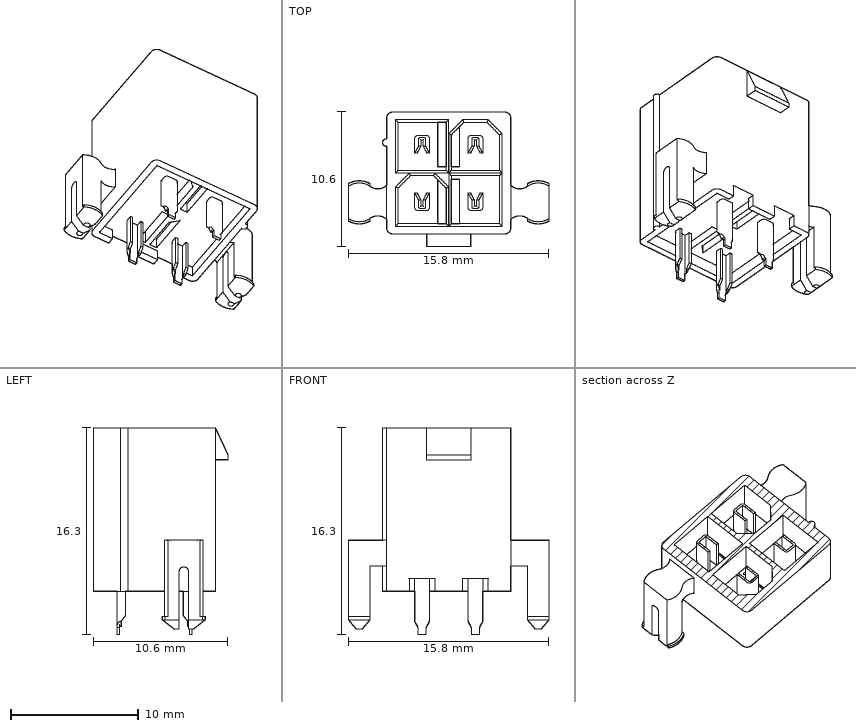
import cadquery as cq
import math

housing_width = 9.78
housing_depth = 9.6
housing_height = 12.85
overall_height = 16.25
corner_radius = 0.5

pitch = 4.2
cavity_size = 3.77
mouth_gap = 0.003
mouth_chamfer = (pitch - mouth_gap - cavity_size) / 2
key_corner = 0.98
rows = (-1, 1)
columns = (-1, 1)

skirt_thickness = 0.57
recess_height = 1.0
floor_thickness = 1.0
floor_top = recess_height + floor_thickness
notch_width = 2.0

slot_outer_x = 0.85
slot_inner_y = 0.5

latch_width = 3.46
latch_reach = 0.99
latch_ramp_height = 2.11
latch_height = 2.5

rib_radius = 0.3
rib_y = 2.39
rib_reach = 0.32

peg_x = 7.04
peg_y = -2.3
peg_half_width = 0.86
peg_radius = 1.53
lip_radius = 1.7
peg_top = 4.03
lip_top = -1.97
lip_bottom = -2.23
peg_bottom = -2.95
peg_tip_half_width = 0.23
peg_tip_half_flat = 0.45
peg_tip_half_length = 0.76
peg_slot_width = 0.73
peg_slot_top = 1.93
arm_bottom = 2.0
arm_waist_x = 5.62
arm_waist = 1.07
arm_root = 1.33
arm_embed = 0.32

contact_width = 1.17
contact_thickness = 0.21
contact_bend = 0.26
contact_back_y = 2.95
shank_depth = 1.4
shank_top = 7.15
tip_top = 7.96
tip_width = 0.54
tip_thickness = 0.18
tip_bend = 0.1
tip_depth = 0.65
tip_setback = 0.18
tail_depth = 0.7
tail_step_depth = 0.35
tail_slope_top = -1.9
tail_slope_bottom = -2.32
tail_taper_top = -2.35
tail_taper_bottom = -2.85
tail_bottom = housing_height - overall_height
blade_width = contact_width - 2 * contact_bend


def box(x_min, x_max, y_min, y_max, z_min, z_max):
    size = (x_max - x_min, y_max - y_min, z_max - z_min)
    return cq.Workplane("XY").box(*size, centered=False).translate((x_min, y_min, z_min))


def loft_between(lower_section, upper_section):
    wires = [lower_section.wires().val(), upper_section.wires().val()]
    return cq.Workplane(cq.Solid.makeLoft(wires, True))


def cavity_section(size, cut, z):
    """Square cavity outline at height z; a positive cut removes its two +Y corners."""
    half = size / 2
    points = [(-half, -half), (half, -half)]
    if cut:
        points += [(half, half - cut), (half - cut, half), (-half + cut, half), (-half, half - cut)]
    else:
        points += [(half, half), (-half, half)]
    return cq.Workplane("XY").workplane(offset=z).polyline(points).close()


def cavity(column, row):
    """Cavity with a 45-degree mouth; the two on one diagonal have cut corners as keys."""
    cut = key_corner if column == row else 0
    mouth_cut = cut + mouth_chamfer * (2 - math.sqrt(2)) if cut else 0
    mouth_size = cavity_size + 2 * mouth_chamfer
    shaft = cavity_section(cavity_size, cut, floor_top).extrude(housing_height - floor_top)
    mouth = loft_between(
        cavity_section(cavity_size, cut, housing_height - mouth_chamfer),
        cavity_section(mouth_size, mouth_cut, housing_height),
    )
    slot = box(-slot_outer_x, slot_outer_x, slot_inner_y, pitch, 0, floor_top)
    if row < 0:
        slot = slot.mirror("XZ")
    place = (column * pitch / 2, row * pitch / 2, 0)
    slot_limit = cavity_section(cavity_size, cut, 0).extrude(floor_top).translate(place)
    return shaft.union(mouth).translate(place).union(slot.intersect(slot_limit))


def housing():
    body = cq.Workplane("XY").rect(housing_width, housing_depth).extrude(housing_height)
    body = body.edges("|Z").fillet(corner_radius)
    rib_x = -housing_width / 2 - rib_reach + rib_radius
    rib = cq.Workplane("XY").center(rib_x, rib_y).circle(rib_radius).extrude(housing_height)
    body = body.union(rib).union(latch())
    recess_size = (housing_width - 2 * skirt_thickness, housing_depth - 2 * skirt_thickness)
    body = body.cut(cq.Workplane("XY").rect(*recess_size).extrude(recess_height))
    for column in columns:
        notch_x = column * pitch / 2
        notch = box(notch_x - notch_width / 2, notch_x + notch_width / 2,
                    -housing_depth / 2, -housing_depth / 2 + skirt_thickness, 0, recess_height)
        body = body.cut(notch)
        for row in rows:
            body = body.cut(cavity(column, row))
    return body


def latch():
    wall = -housing_depth / 2
    outline = [
        (wall, housing_height),
        (wall - latch_reach, housing_height - latch_ramp_height),
        (wall - latch_reach, housing_height - latch_height),
        (wall, housing_height - latch_height),
    ]
    return cq.Workplane("YZ").polyline(outline).close().extrude(latch_width / 2, both=True)


def peg_section(z, half_width, half_flat, half_length):
    """Outline with flat sides at +-half_width and arcs bulging to +-half_length in Y."""
    return (
        cq.Workplane("XY")
        .workplane(offset=z)
        .moveTo(half_width, -half_flat)
        .lineTo(half_width, half_flat)
        .threePointArc((0, half_length), (-half_width, half_flat))
        .lineTo(-half_width, -half_flat)
        .threePointArc((0, -half_length), (half_width, -half_flat))
        .close()
    )


def round_peg_section(radius, z):
    half_flat = math.sqrt(radius**2 - peg_half_width**2)
    return peg_section(z, peg_half_width, half_flat, radius)


def peg():
    """Split peg with a retaining lip and a tapered tip, and the arm on its -X side."""
    shank = round_peg_section(peg_radius, lip_bottom).extrude(peg_top - lip_bottom)
    lip = round_peg_section(lip_radius, lip_bottom).extrude(lip_top - lip_bottom)
    tip_end = peg_section(peg_bottom, peg_tip_half_width, peg_tip_half_flat, peg_tip_half_length)
    tip = loft_between(tip_end, round_peg_section(lip_radius, lip_bottom))
    slot_radius = peg_slot_width / 2
    slot_arch_z = peg_slot_top - slot_radius
    slot = (
        cq.Workplane("YZ")
        .moveTo(-slot_radius, peg_bottom)
        .lineTo(slot_radius, peg_bottom)
        .lineTo(slot_radius, slot_arch_z)
        .threePointArc((0, peg_slot_top), (-slot_radius, slot_arch_z))
        .close()
        .extrude(peg_half_width, both=True)
    )
    split_peg = shank.union(lip).union(tip).cut(slot)
    return split_peg.translate((peg_x, 0, 0)).union(arm()).translate((0, peg_y, 0))


def arm():
    peg_side = peg_x - peg_half_width
    wall = housing_width / 2
    peg_side_y = math.sqrt(peg_radius**2 - peg_half_width**2)
    return (
        cq.Workplane("XY")
        .workplane(offset=arm_bottom)
        .moveTo(peg_side, -peg_side_y)
        .lineTo(peg_side, peg_side_y)
        .threePointArc((arm_waist_x, arm_waist), (wall, arm_root))
        .lineTo(wall - arm_embed, arm_root)
        .lineTo(wall - arm_embed, -arm_root)
        .lineTo(wall, -arm_root)
        .threePointArc((arm_waist_x, -arm_waist), (peg_side, -peg_side_y))
        .close()
        .extrude(peg_top - arm_bottom)
    )


def channel(z, width, depth, thickness, bend, back_y):
    """U outline with its back at back_y, rounded outer bends and legs reaching towards -Y."""
    half = width / 2
    inner = half - thickness
    leg_end = back_y - depth
    bend_inset = bend * (1 - math.sqrt(0.5))
    return (
        cq.Workplane("XY")
        .workplane(offset=z)
        .moveTo(half, leg_end)
        .lineTo(half, back_y - bend)
        .threePointArc((half - bend_inset, back_y - bend_inset), (half - bend, back_y))
        .lineTo(-half + bend, back_y)
        .threePointArc((-half + bend_inset, back_y - bend_inset), (-half, back_y - bend))
        .lineTo(-half, leg_end)
        .lineTo(-inner, leg_end)
        .lineTo(-inner, back_y - thickness)
        .lineTo(inner, back_y - thickness)
        .lineTo(inner, leg_end)
        .close()
    )


def sheet_channel(z, depth):
    return channel(z, contact_width, depth, contact_thickness, contact_bend, contact_back_y)


def contact_tail():
    """Solder tail: legs step back, then the sides taper until only the back blade is left."""
    tail = sheet_channel(tail_bottom, tail_depth).extrude(floor_top - tail_bottom)
    side_outline = [
        (contact_back_y, floor_top),
        (contact_back_y - tail_depth, floor_top),
        (contact_back_y - tail_depth, tail_slope_top),
        (contact_back_y - tail_step_depth, tail_slope_bottom),
        (contact_back_y - tail_step_depth, tail_bottom),
        (contact_back_y, tail_bottom),
    ]
    side = cq.Workplane("YZ").polyline(side_outline).close().extrude(contact_width / 2, both=True)
    front_outline = [
        (contact_width / 2, floor_top),
        (contact_width / 2, tail_taper_top),
        (blade_width / 2, tail_taper_bottom),
        (blade_width / 2, tail_bottom),
        (-blade_width / 2, tail_bottom),
        (-blade_width / 2, tail_taper_bottom),
        (-contact_width / 2, tail_taper_top),
        (-contact_width / 2, floor_top),
    ]
    front = cq.Workplane("XZ").polyline(front_outline).close().extrude(-contact_back_y)
    return tail.intersect(side).intersect(front)


def contact():
    shank = sheet_channel(recess_height, shank_depth).extrude(shank_top - recess_height)
    tip_back_y = contact_back_y - tip_setback
    tip_end = channel(tip_top, tip_width, tip_depth, tip_thickness, tip_bend, tip_back_y)
    tip = loft_between(sheet_channel(shank_top, shank_depth), tip_end)
    return shank.union(tip).union(contact_tail())


result = housing()
right_peg = peg()
result = result.union(right_peg).union(right_peg.mirror("YZ"))
rear_contact = contact()
front_contact = rear_contact.mirror("XZ")
for column in columns:
    contact_x = column * pitch / 2
    result = result.union(rear_contact.translate((contact_x, 0, 0)))
    result = result.union(front_contact.translate((contact_x, 0, 0)))